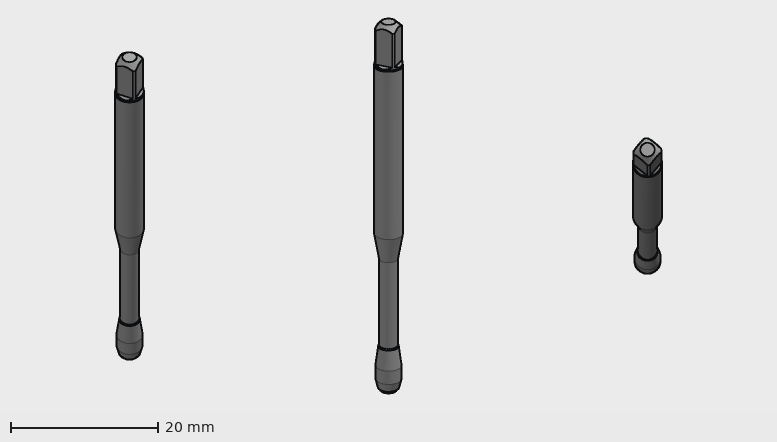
import cadquery as cq

total_length = 56.1

tip_diameter = 2.1
tip_chamfer_height = 0.5
lead_start_diameter = 2.95
lead_end = 1.8
head_diameter = 3.59
guide_end = 3.83
head_back_diameter = 2.84
back_taper_end = 6.72
head_length = 6.92

neck_diameter = 2.64
neck_end = 20.1
taper_end = 23.95
shank_diameter = 4.0
shank_end = 49.45
collar_diameter = 3.84
collar_chamfer_height = 0.2

square_width = 3.0
square_length = 6.07
square_bottom = total_length - square_length
runout_slope = 0.7
end_chamfer_height = 0.92
end_face_diameter = 1.95

cutter_margin = 1.0
flat_count = 4


def revolve_profile(sections):
    """Revolve (diameter, height) sections about the Z axis into one solid."""
    bottom = sections[0][1]
    top = sections[-1][1]
    outline = [(0, bottom)]
    outline += [(diameter / 2, height) for diameter, height in sections]
    outline.append((0, top))
    return cq.Workplane("XZ").polyline(outline).close().revolve(360, (0, 0), (0, 1))


def make_cutting_head():
    """Thread envelope with tip chamfer, lead taper, guide land and back taper."""
    return revolve_profile([
        (tip_diameter, 0),
        (lead_start_diameter, tip_chamfer_height),
        (head_diameter, lead_end),
        (head_diameter, guide_end),
        (head_back_diameter, back_taper_end),
        (neck_diameter, head_length),
    ])


def make_turned_shank():
    """Neck, taper, shank and the chamfered round end from which the square is cut."""
    collar_start = shank_end + collar_chamfer_height
    end_chamfer_start = total_length - end_chamfer_height
    return revolve_profile([
        (neck_diameter, head_length),
        (neck_diameter, neck_end),
        (shank_diameter, taper_end),
        (shank_diameter, shank_end),
        (collar_diameter, collar_start),
        (collar_diameter, end_chamfer_start),
        (end_face_diameter, total_length),
    ])


def make_flat_cutter():
    """Material removed to form one flat, with a sloping run-out at its foot."""
    flat = square_width / 2
    outside = flat + cutter_margin
    above = total_length + cutter_margin
    return (
        cq.Workplane("XZ")
        .moveTo(flat, square_bottom)
        .lineTo(outside, square_bottom - runout_slope * cutter_margin)
        .lineTo(outside, above)
        .lineTo(flat, above)
        .close()
        .extrude(shank_diameter, both=True)
    )


cutting_head = make_cutting_head()
shank = make_turned_shank()
for index in range(flat_count):
    angle = index * 360 / flat_count
    shank = shank.cut(make_flat_cutter().rotate((0, 0, 0), (0, 0, 1), angle))

result = cq.Compound.makeCompound([cutting_head.val(), shank.val()])